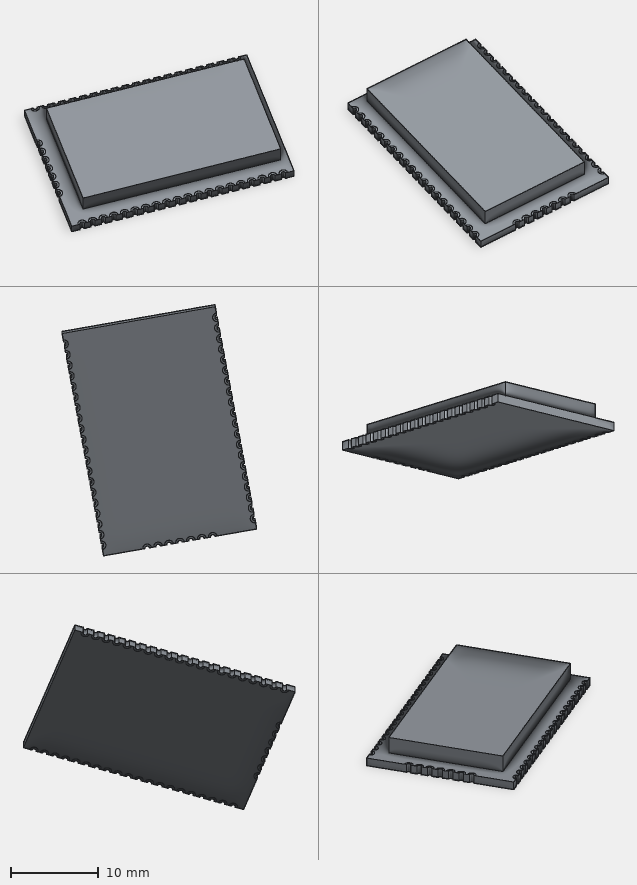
import cadquery as cq

board_length = 26.67
pitches_per_length = 21
pitches_per_width = 14
pad_pitch = board_length / pitches_per_length
board_width = pitches_per_width * pad_pitch

can_height = 2.0
board_thickness = can_height / 2
can_side_margin = 2.0
can_front_margin = 2.0
can_back_margin = 0.95

notch_radius = 0.25
pad_radius = 2 * notch_radius
pad_height = 0.015
side_pad_count = 20
front_pad_count = 7


def centred_row(count):
    """Evenly pitched positions, centred on zero."""
    return [(i - (count - 1) / 2) * pad_pitch for i in range(count)]


def edge_pad_centres():
    """Pad centres on the left, right and front board edges."""
    side_row = centred_row(side_pad_count)
    left = [(-board_width / 2, y) for y in side_row]
    right = [(board_width / 2, y) for y in side_row]
    front = [(x, -board_length / 2) for x in centred_row(front_pad_count)]
    return left + right + front


def block(width, length, bottom, top, centre_y=0):
    """Upright block between two heights, centred on X."""
    return (
        cq.Workplane("XY", origin=(0, centre_y, bottom))
        .rect(width, length)
        .extrude(top - bottom)
    )


def edge_discs(radius, bottom, top):
    """Upright discs between two heights, one at each pad centre."""
    return (
        cq.Workplane("XY", origin=(0, 0, bottom))
        .pushPoints(edge_pad_centres())
        .circle(radius)
        .extrude(top - bottom)
    )


pad_bottom = -pad_height
pad_top = board_thickness + pad_height

board = block(board_width, board_length, 0, board_thickness)
pad_limits = block(board_width, board_length, pad_bottom, pad_top)
pads = edge_discs(pad_radius, pad_bottom, pad_top).intersect(pad_limits)
notches = edge_discs(notch_radius, pad_bottom, pad_top)

can = block(
    board_width - 2 * can_side_margin,
    board_length - can_front_margin - can_back_margin,
    board_thickness,
    board_thickness + can_height,
    centre_y=(can_front_margin - can_back_margin) / 2,
)

result = board.union(pads).cut(notches).union(can)